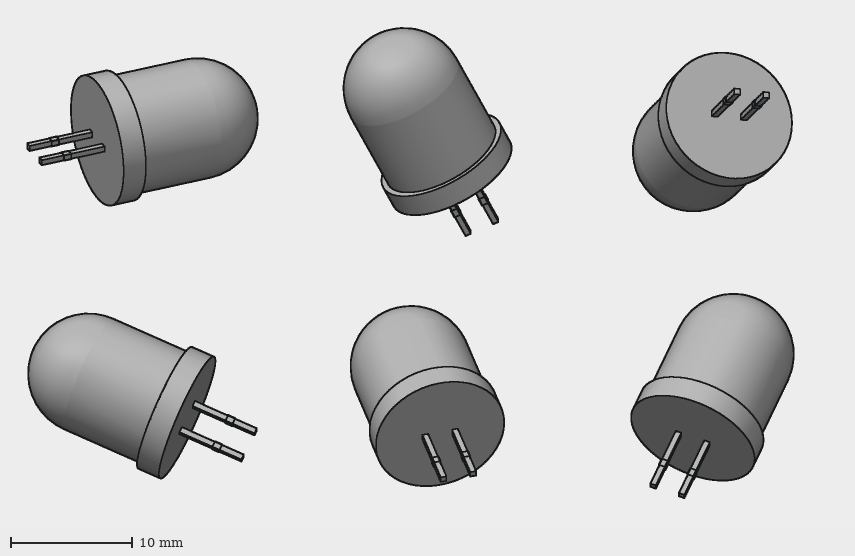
import cadquery as cq

lens_diameter = 10.0
flange_diameter = 11.0
flange_thickness = 2.0
barrel_length = 7.0
lens_radius = lens_diameter / 2
flange_radius = flange_diameter / 2
lens_length = flange_thickness + barrel_length + lens_radius

overall_length = 19.65
lead_length = overall_length - lens_length
lead_width = 0.5
lead_spacing = 2.53

collar_offset = 3.0
collar_length = 0.65
collar_side_wall = 0.05
collar_face_wall = 0.005
collar_width = lead_width + 2 * collar_side_wall
collar_height = lead_width + 2 * collar_face_wall


def make_lens():
    """Revolve the half outline around Y, with the flange base at y = 0."""
    barrel_end = flange_thickness + barrel_length
    return (
        cq.Workplane("XY")
        .lineTo(flange_radius, 0)
        .lineTo(flange_radius, flange_thickness)
        .lineTo(lens_radius, flange_thickness)
        .lineTo(lens_radius, barrel_end)
        .radiusArc((0, lens_length), -lens_radius)
        .close()
        .revolve(360, (0, 0), (0, 1))
    )


def bar_along_y(x, y_start, length, width, height):
    """Rectangular bar centred on (x, z = 0), running from y_start toward -Y."""
    return (
        cq.Workplane("XY")
        .box(width, length, height)
        .translate((x, y_start - length / 2, 0))
    )


def make_lead(x):
    return bar_along_y(x, 0, lead_length, lead_width, lead_width)


def make_collar(x):
    """Sleeve whose square hole fits the lead."""
    sleeve = bar_along_y(x, -collar_offset, collar_length, collar_width, collar_height)
    return sleeve.cut(make_lead(x))


lens = make_lens()
leads = []
collars = []
for side in (-1, 1):
    lead_x = side * lead_spacing / 2
    leads.append(make_lead(lead_x).val())
    collars.append(make_collar(lead_x).val().Solids()[0])

result = cq.Compound.makeCompound([lens.val(), *leads, *collars])